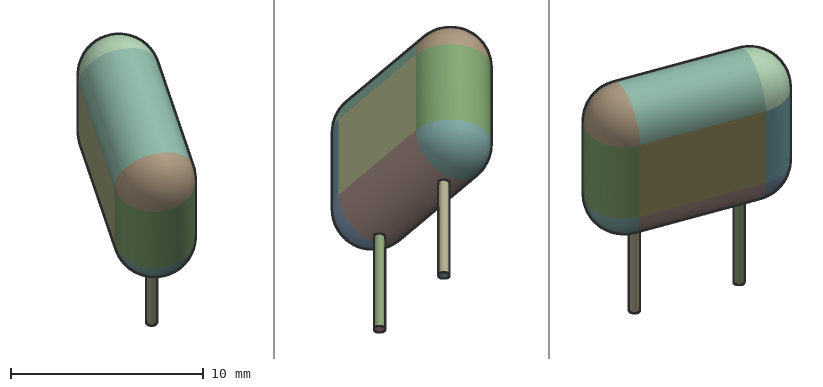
import cadquery as cq

total_height = 14.95
body_width = 11.4
body_thickness = 4.3
body_height = 9.09
lead_diameter = 0.6
lead_pitch = 5.9

round_radius = body_thickness / 2
core_width = body_width - body_thickness
core_height = body_height - body_thickness
lead_length = total_height - body_height

core_bottom = round_radius
core_top = core_bottom + core_height
core_middle = core_bottom + core_height / 2


def make_body():
    """Block whose outer edges are all fully rounded, with ball-shaped corners."""
    upright_slot = (
        cq.Workplane("XY", origin=(0, 0, core_bottom))
        .slot2D(body_width, body_thickness)
        .extrude(core_height)
    )
    lengthwise_slot = (
        cq.Workplane("YZ", origin=(-core_width / 2, 0, core_middle))
        .slot2D(body_height, body_thickness, angle=90)
        .extrude(core_width)
    )
    body = upright_slot.union(lengthwise_slot)
    for x in (-core_width / 2, core_width / 2):
        for z in (core_bottom, core_top):
            corner = cq.Workplane("XY", origin=(x, 0, z)).sphere(round_radius)
            body = body.union(corner)
    return body.clean().solids()


def make_lead(x, body):
    """Round wire whose upper end is shaped to the curved underside of the body."""
    wire = (
        cq.Workplane("XY", origin=(x, 0, -lead_length))
        .circle(lead_diameter / 2)
        .extrude(lead_length + round_radius)
    )
    return wire.cut(body).solids()


body = make_body()
leads = [make_lead(x, body) for x in (-lead_pitch / 2, lead_pitch / 2)]

result = cq.Compound.makeCompound([body.val(), *[lead.val() for lead in leads]])